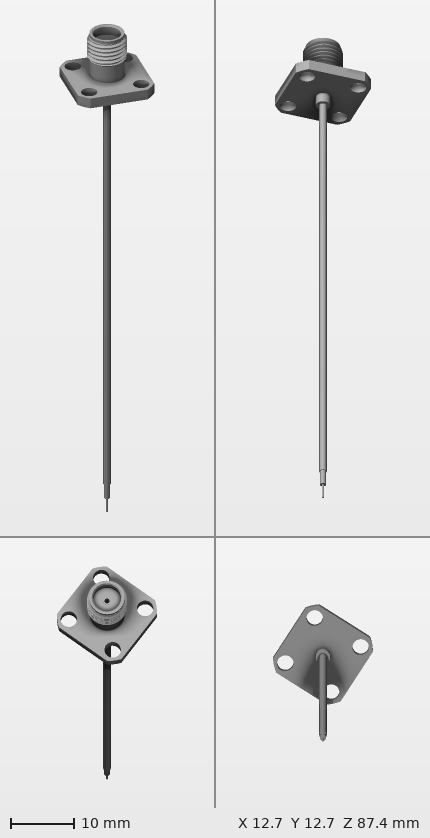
import cadquery as cq
import math

flange_thickness = 1.78
mating_face_z = 9.53
ferrule_length = 1.65
cable_length = 76.2
core_wire_strip = 2.54
dielectric_strip = 2.54

ferrule_end_z = -ferrule_length
cable_tip_z = ferrule_end_z - cable_length
dielectric_end_z = cable_tip_z + core_wire_strip
jacket_end_z = dielectric_end_z + dielectric_strip

flange_width = 12.7
flange_corner_circle_diameter = 15.875
mount_hole_diameter = 2.6
mount_hole_spacing = 8.64

barrel_diameter = 5.56
barrel_base_fillet = 0.2
bore_diameter = 4.45
bore_depth = 1.65
bore_mouth_chamfer = 0.2
contact_diameter = 1.2
contact_height = 0.1
socket_diameter = 0.8
socket_depth = 2.5

thread_diameter = 6.35
thread_root_diameter = 5.58
thread_pitch = 25.4 / 36
thread_top_z = mating_face_z - 0.55
thread_bottom_z = mating_face_z - 4.6
flank_angle = 30
crest_width = 0.08
crest_reference_angle = -90
crest_reference_z = mating_face_z - 1.2
ridge_embedding = 0.05
envelope_clearance = 0.06

ferrule_diameter = 2.3
jacket_diameter = 1.19
dielectric_diameter = 0.94
core_wire_diameter = 0.3


def cylinder(diameter, bottom_z, top_z):
    """Solid cylinder on the Z axis between two heights."""
    return cq.Workplane("XY").workplane(offset=bottom_z).circle(diameter / 2).extrude(top_z - bottom_z)


def make_flange():
    """Square plate with corners cut to a circle and four mounting holes."""
    return (
        cq.Workplane("XY")
        .rect(flange_width, flange_width)
        .extrude(flange_thickness)
        .intersect(cylinder(flange_corner_circle_diameter, 0, flange_thickness))
        .faces(">Z")
        .workplane()
        .rect(mount_hole_spacing, mount_hole_spacing, forConstruction=True)
        .vertices()
        .hole(mount_hole_diameter)
    )


def make_ridge():
    """Helical ridge with sloping flanks, rooted inside the thread's core and longer than the thread."""
    turns = math.ceil((thread_top_z - thread_bottom_z) / thread_pitch) + 2
    turns_below = math.ceil((crest_reference_z - thread_bottom_z) / thread_pitch) + 1
    root_radius = thread_root_diameter / 2 - ridge_embedding
    crest_radius = thread_diameter / 2
    flank_rise = (crest_radius - root_radius) * math.tan(math.radians(flank_angle))
    crest_half_width = crest_width / 2
    root_half_width = crest_half_width + flank_rise
    path = cq.Wire.makeHelix(thread_pitch, turns * thread_pitch, root_radius)
    profile = (
        cq.Workplane("XZ")
        .moveTo(root_radius, -root_half_width)
        .lineTo(crest_radius, -crest_half_width)
        .lineTo(crest_radius, crest_half_width)
        .lineTo(root_radius, root_half_width)
        .close()
    )
    return (
        profile.sweep(cq.Workplane(path), isFrenet=True)
        .rotate((0, 0, 0), (0, 0, 1), crest_reference_angle)
        .translate((0, 0, crest_reference_z - turns_below * thread_pitch))
    )


def make_thread():
    """Ridge trimmed to the thread length, with both ends tapered down to the thread's core."""
    envelope_diameter = thread_diameter + envelope_clearance
    end_taper = (envelope_diameter - thread_root_diameter) / 2
    envelope = (
        cylinder(envelope_diameter, thread_bottom_z, thread_top_z)
        .faces("<Z or >Z")
        .chamfer(end_taper)
    )
    core = cylinder(thread_root_diameter, thread_bottom_z, thread_top_z)
    return core.union(make_ridge().intersect(envelope))


def make_bore():
    """Space inside the barrel: a round bore with a chamfered mouth."""
    bore = cylinder(bore_diameter, mating_face_z - bore_depth, mating_face_z)
    bore_radius = bore_diameter / 2
    mouth = cq.Solid.makeCone(
        bore_radius,
        bore_radius + bore_mouth_chamfer,
        bore_mouth_chamfer,
        pnt=cq.Vector(0, 0, mating_face_z - bore_mouth_chamfer),
    )
    return bore.union(cq.Workplane(mouth))


def make_connector():
    """Flange, threaded barrel, recessed centre contact and rear ferrule, bored to take the cable."""
    bore_floor_z = mating_face_z - bore_depth
    contact_top_z = bore_floor_z + contact_height
    barrel = cylinder(barrel_diameter, flange_thickness, mating_face_z)
    contact = cylinder(contact_diameter, bore_floor_z, contact_top_z)
    socket = cylinder(socket_diameter, contact_top_z - socket_depth, contact_top_z)
    ferrule = cylinder(ferrule_diameter, ferrule_end_z, 0)
    cable_hole = cylinder(jacket_diameter, ferrule_end_z, 0)
    half_window = barrel_diameter / 2 + barrel_base_fillet
    base_edge_finder = cq.selectors.BoxSelector(
        (-half_window, -half_window, flange_thickness - barrel_base_fillet),
        (half_window, half_window, flange_thickness + barrel_base_fillet),
    )
    flanged_barrel = make_flange().union(barrel).edges("%CIRCLE").edges(base_edge_finder)
    flanged_barrel = flanged_barrel.fillet(barrel_base_fillet)
    return (
        flanged_barrel
        .union(make_thread())
        .union(ferrule)
        .cut(make_bore())
        .union(contact)
        .cut(socket)
        .cut(cable_hole)
    )


def make_cable():
    """Coaxial cable with its end stripped in two steps, seated in the ferrule."""
    jacket = cylinder(jacket_diameter, jacket_end_z, 0)
    dielectric = cylinder(dielectric_diameter, dielectric_end_z, jacket_end_z)
    core_wire = cylinder(core_wire_diameter, cable_tip_z, dielectric_end_z)
    return jacket.union(dielectric).union(core_wire)


connector = make_connector()
cable = make_cable()

result = cq.Compound.makeCompound([connector.solids().val(), cable.solids().val()])